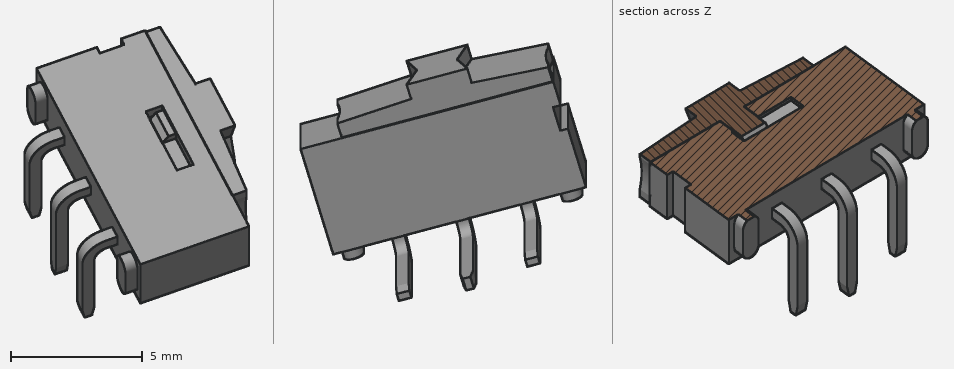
import cadquery as cq

housing_length = 10.0
housing_depth = 4.5
housing_height = 2.54
mid_height = housing_height / 2

notch_depth = 0.3
notch_width = 1.0
notch_setback = 1.0

window_length = 3.0
window_width = 0.68
window_depth = 0.47
window_setback = 0.8
window_floor = housing_height - window_depth
window_back = housing_depth - window_setback

pad_width = 0.8
pad_height = 2.0
pad_thickness = 0.5
pad_offset = 4.32

pin_size = 0.5
pin_pitch = 2.54
pin_lead = 0.45
bend_inner = 0.5
bend_outer = bend_inner + pin_size
outer_pin_drop = 3.0
middle_pin_drop = 3.5
taper_length = 0.5
taper_inset = 0.1

slider_shift = -0.8
slider_length = 8.34
slider_height = 2.4
slider_end_depth = 0.6
slider_shoulder_depth = 0.79
slider_depth = 1.4
knob_length = 2.4
knob_groove_depth = 0.4
scallop_height = 1.6
scallop_depth = 0.1

tongue_length = 1.21
tongue_drop = 0.16
tongue_flat = 0.3
tongue_slope = 0.26
tongue_top = housing_height - tongue_drop


def make_tongue():
    """Tongue along Y that rests on the window floor, with a sloped nose."""
    profile = (
        cq.Workplane("YZ", origin=(slider_shift - tongue_length / 2, 0, 0))
        .moveTo(housing_depth, window_floor)
        .lineTo(housing_depth, tongue_top)
        .lineTo(window_back - tongue_flat, tongue_top)
        .lineTo(window_back - tongue_flat - tongue_slope, window_floor)
        .close()
    )
    return profile.extrude(tongue_length)


def make_pad(x):
    """Upright pad with round ends on the terminal face."""
    return (
        cq.Workplane("XZ", origin=(x, 0, mid_height))
        .slot2D(pad_height, pad_width, 90)
        .extrude(pad_thickness)
    )


def make_pin(x, drop, taper_across_x):
    """Square terminal that leaves the housing along -Y and bends down to a tapered tip."""
    pin_top = mid_height + pin_size / 2
    bend_z = pin_top - bend_outer
    leg_y = -pin_lead - bend_inner
    pin = (
        cq.Workplane("YZ", origin=(x - pin_size / 2, 0, 0))
        .moveTo(0, pin_top)
        .lineTo(-pin_lead, pin_top)
        .radiusArc((-pin_lead - bend_outer, bend_z), -bend_outer)
        .lineTo(leg_y - pin_size, -drop)
        .lineTo(leg_y, -drop)
        .lineTo(leg_y, bend_z)
        .radiusArc((-pin_lead, pin_top - pin_size), bend_inner)
        .lineTo(0, pin_top - pin_size)
        .close()
        .extrude(pin_size)
    )
    leg_center_y = leg_y - pin_size / 2
    plane = "XZ" if taper_across_x else "YZ"
    for side in (-1, 1):
        wedge = (
            cq.Workplane(plane, origin=(x, leg_center_y, -drop))
            .moveTo(side * pin_size / 2, taper_length)
            .lineTo(side * pin_size / 2, 0)
            .lineTo(side * (pin_size / 2 - taper_inset), 0)
            .close()
            .extrude(pin_size, both=True)
        )
        pin = pin.cut(wedge)
    return pin


def make_housing():
    """Box with end notch, window and tongue passage, carrying its pads and terminals."""
    body = cq.Workplane("XY").box(
        housing_length, housing_depth, housing_height, centered=(True, False, False)
    )
    notch = (
        cq.Workplane("XY")
        .box(notch_depth, notch_width, housing_height, centered=False)
        .translate((-housing_length / 2, housing_depth - notch_setback - notch_width, 0))
    )
    window = (
        cq.Workplane("XY")
        .box(window_length, window_width, window_depth, centered=(True, False, False))
        .translate((0, window_back - window_width, window_floor))
    )
    body = body.cut(notch).cut(window).cut(make_tongue())
    for side in (-1, 1):
        body = body.union(make_pad(side * pad_offset))
        body = body.union(make_pin(side * pin_pitch, outer_pin_drop, taper_across_x=False))
    return body.union(make_pin(0, middle_pin_drop, taper_across_x=True))


def make_slider():
    """Slider bar with sloped shoulders and a knob, hollowed at its ends, plus its tongue."""
    half_length = slider_length / 2
    half_knob = knob_length / 2
    bar = (
        cq.Workplane("XY", origin=(slider_shift, housing_depth, mid_height))
        .moveTo(-half_length, 0)
        .lineTo(-half_length, slider_end_depth)
        .lineTo(-half_knob, slider_shoulder_depth)
        .lineTo(-half_knob, slider_depth)
        .lineTo(half_knob, slider_depth)
        .lineTo(half_knob, slider_shoulder_depth)
        .lineTo(half_length, slider_end_depth)
        .lineTo(half_length, 0)
        .close()
        .extrude(slider_height / 2, both=True)
    )
    shoulder_slope = (slider_shoulder_depth - slider_end_depth) / (half_length - half_knob)
    groove_bottom = slider_shoulder_depth + shoulder_slope * knob_groove_depth
    for side in (-1, 1):
        scallop = (
            cq.Workplane("XZ", origin=(slider_shift + side * half_length, housing_depth, mid_height))
            .moveTo(0, -scallop_height / 2)
            .threePointArc((-side * scallop_depth, 0), (0, scallop_height / 2))
            .close()
            .extrude(-slider_depth)
        )
        groove = (
            cq.Workplane("XZ", origin=(slider_shift + side * half_knob, housing_depth, mid_height))
            .moveTo(0, -slider_height / 2)
            .lineTo(-side * knob_groove_depth, 0)
            .lineTo(0, slider_height / 2)
            .close()
            .extrude(-slider_depth)
        )
        shoulder = (
            cq.Workplane("XY", origin=(slider_shift, housing_depth, 0))
            .moveTo(side * half_knob, slider_shoulder_depth)
            .lineTo(side * (half_knob - knob_groove_depth), groove_bottom)
            .lineTo(side * (half_knob - knob_groove_depth), 0)
            .lineTo(side * half_knob, 0)
            .close()
            .extrude(housing_height)
        )
        bar = bar.cut(scallop).cut(groove.cut(shoulder))
    return bar.union(make_tongue())


housing = make_housing()
slider = make_slider()
result = cq.Compound.makeCompound([housing.solids().val(), slider.solids().val()])